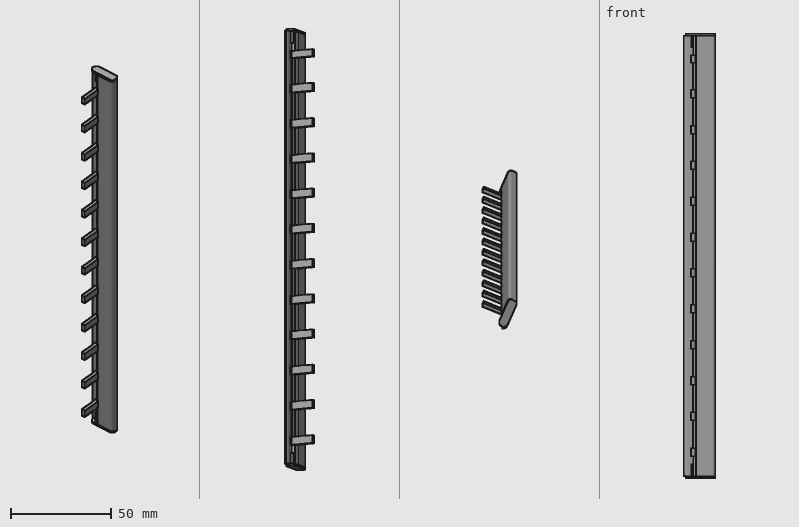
import cadquery as cq
import math

length = 222.0
width = 16.0
cap_depth = 4.7
cap_inset = 0.2
body_depth = cap_depth + cap_inset
edge_radius = 1.5

lip_back_x = 1.3
lip_tip_depth = 1.5
lip_bulge = 0.27
lip_root_x = 1.5

channel_depth = 2.0
channel_wall_x = 4.9
ledge_depth = 3.8
ledge_end_x = 6.0
front_start_x = 6.5

cap_thickness = 1.0
cap_left_x = 1.0

pin_left_x = 3.8
pin_width = 2.0
pin_height = 4.0
pin_tip_depth = 14.2
foot_left_x = 3.5
foot_depth = 2.7
first_pin_z = 10.9
regular_pin_count = 11
regular_pin_span = 179.2
pin_pitch = regular_pin_span / (regular_pin_count - 1)
last_pin_z = 207.5
last_pin_height = 3.5

rail_left_x = 4.7
rail_depth = 2.7

stop_left_x = 3.8
stop_width = 0.7
stop_depth = 3.5
stop_height = 5.8


def channel_block(x, x_size, front_depth, z, z_size):
    """Box that rises from the channel floor to the given depth in front of the back plane."""
    corner = cq.Vector(x, -front_depth, z)
    return cq.Workplane(cq.Solid.makeBox(x_size, front_depth - channel_depth, z_size, corner))


def close_right_side(profile, depth):
    """Run an outline along the front face, round both +X edges and close it along the back."""
    straight_end_x = width - edge_radius
    corner_inset = edge_radius * (1 - math.sqrt(0.5))
    return (
        profile.lineTo(straight_end_x, -depth)
        .threePointArc((width - corner_inset, corner_inset - depth), (width, edge_radius - depth))
        .lineTo(width, -edge_radius)
        .threePointArc((width - corner_inset, -corner_inset), (straight_end_x, 0))
        .close()
    )


def make_body():
    lip_middle = (lip_back_x / 2 - lip_bulge, -lip_tip_depth / 2)
    profile = (
        cq.Workplane("XY", origin=(0, 0, cap_thickness))
        .moveTo(lip_back_x, 0)
        .threePointArc(lip_middle, (0, -lip_tip_depth))
        .lineTo(lip_root_x, -channel_depth)
        .lineTo(channel_wall_x, -channel_depth)
        .lineTo(channel_wall_x, -ledge_depth)
        .lineTo(ledge_end_x, -ledge_depth)
        .lineTo(front_start_x, -body_depth)
    )
    return close_right_side(profile, body_depth).extrude(length - 2 * cap_thickness)


def make_cap(z):
    radius = cap_depth / 2
    profile = (
        cq.Workplane("XY", origin=(0, 0, z))
        .moveTo(cap_left_x + radius, 0)
        .threePointArc((cap_left_x, -radius), (cap_left_x + radius, -cap_depth))
    )
    return close_right_side(profile, cap_depth).extrude(cap_thickness)


def make_pin(z, height):
    pin_right_x = pin_left_x + pin_width
    outline = [
        (foot_left_x, -channel_depth),
        (pin_left_x, -foot_depth),
        (pin_left_x, -pin_tip_depth),
        (pin_right_x, -pin_tip_depth),
        (pin_right_x, -channel_depth),
    ]
    return cq.Workplane("XY", origin=(0, 0, z)).polyline(outline).close().extrude(height)


def make_stop(z):
    return channel_block(stop_left_x, stop_width, stop_depth, z, stop_height)


def make_rail():
    rail_height = last_pin_z - first_pin_z
    return channel_block(rail_left_x, channel_wall_x - rail_left_x, rail_depth, first_pin_z, rail_height)


result = make_body().union(make_rail())
for cap_z in (0, length - cap_thickness):
    result = result.union(make_cap(cap_z))
for stop_z in (cap_thickness, length - cap_thickness - stop_height):
    result = result.union(make_stop(stop_z))
for i in range(regular_pin_count):
    result = result.union(make_pin(first_pin_z + i * pin_pitch, pin_height))
result = result.union(make_pin(last_pin_z, last_pin_height))